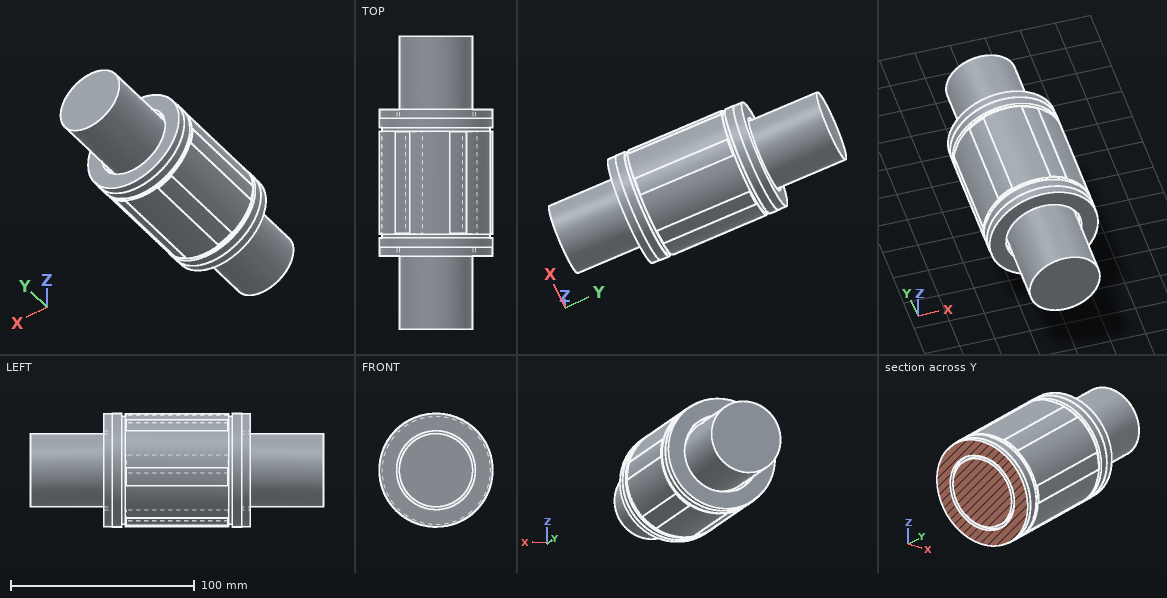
import cadquery as cq

shaft_length = 160.0
shaft_diameter = 40.0

sleeve_length = 80.0
collar_diameter = 62.0
collar_width = 10.0
collar_rim_diameter = 61.8
collar_rim_width = 4.8
groove_diameter = 59.0
barrel_length = 56.3
barrel_diameter = 61.8

recess_diameter = 43.0
recess_depth = 4.8

strip_count = 6
strip_diameter = collar_diameter
strip_length = 55.4
strip_angle = 18.6
first_strip_angle = 14.0


def cylinder(diameter, length, center_y=0.0):
    """Solid cylinder along Y, centred at center_y."""
    start = cq.Workplane("XZ", origin=(0, center_y + length / 2, 0))
    return start.circle(diameter / 2).extrude(length)


def strip(start_angle):
    """Sector reaching from the axis to the raised strip surface."""
    profile = cq.Workplane("YZ").rect(strip_length, strip_diameter / 2, centered=(True, False))
    sector = profile.revolve(strip_angle, (0, 0, 0), (1, 0, 0))
    return sector.rotate((0, 0, 0), (0, 1, 0), start_angle)


sleeve = cylinder(groove_diameter, sleeve_length)
sleeve = sleeve.union(cylinder(barrel_diameter, barrel_length))
for side in (-1, 1):
    step_width = collar_width - collar_rim_width
    step_y = side * (sleeve_length / 2 - collar_rim_width - step_width / 2)
    rim_y = side * (sleeve_length - collar_rim_width) / 2
    sleeve = sleeve.union(cylinder(collar_diameter, step_width, step_y))
    sleeve = sleeve.union(cylinder(collar_rim_diameter, collar_rim_width, rim_y))

for index in range(strip_count):
    sleeve = sleeve.union(strip(first_strip_angle + index * 360 / strip_count))

for side in (-1, 1):
    recess_y = side * (sleeve_length - recess_depth) / 2
    sleeve = sleeve.cut(cylinder(recess_diameter, recess_depth, recess_y))

result = sleeve.union(cylinder(shaft_diameter, shaft_length))